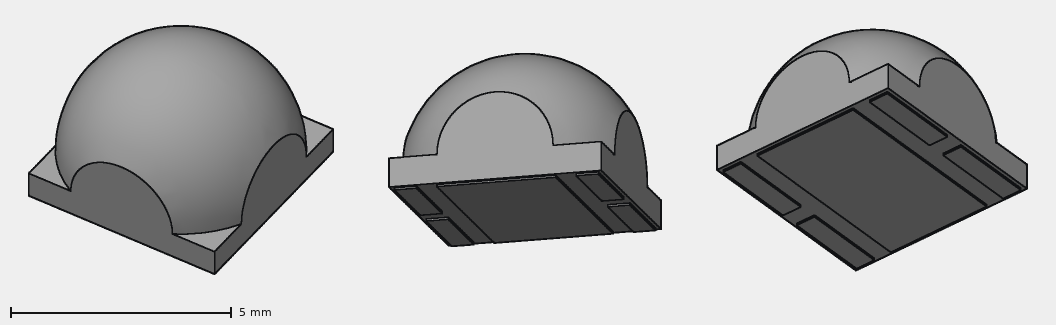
import cadquery as cq

body_width = 5.0
total_height = 3.58
dome_radius = 2.85

pad_thickness = 0.05
pad_span = 4.8
thermal_pad_width = 2.8
contact_pad_width = 0.52
contact_pad_gap = 0.49
contact_pad_length = (pad_span - contact_pad_gap) / 2
contact_pad_offset_x = (pad_span - contact_pad_width) / 2
contact_pad_offset_y = (pad_span - contact_pad_length) / 2

board_top = total_height - dome_radius
board_thickness = board_top - pad_thickness


def make_board():
    """Square board, resting on top of the pads."""
    return (
        cq.Workplane("XY")
        .workplane(offset=pad_thickness)
        .rect(body_width, body_width)
        .extrude(board_thickness)
    )


def make_dome():
    """Hemispherical lens, trimmed flush with the four board sides."""
    sphere = cq.Workplane("XY").sphere(dome_radius).translate((0, 0, board_top))
    trim = (
        cq.Workplane("XY")
        .workplane(offset=board_top)
        .rect(body_width, body_width)
        .extrude(dome_radius)
    )
    return sphere.intersect(trim)


def make_pad(center_x, center_y, width, length):
    """Rectangular pad with its length along Y."""
    return (
        cq.Workplane("XY")
        .center(center_x, center_y)
        .rect(width, length)
        .extrude(pad_thickness)
    )


result = make_board().union(make_dome())
result = result.union(make_pad(0, 0, thermal_pad_width, pad_span))

for side_x in (-1, 1):
    for side_y in (-1, 1):
        contact_pad = make_pad(
            side_x * contact_pad_offset_x,
            side_y * contact_pad_offset_y,
            contact_pad_width,
            contact_pad_length,
        )
        result = result.union(contact_pad)